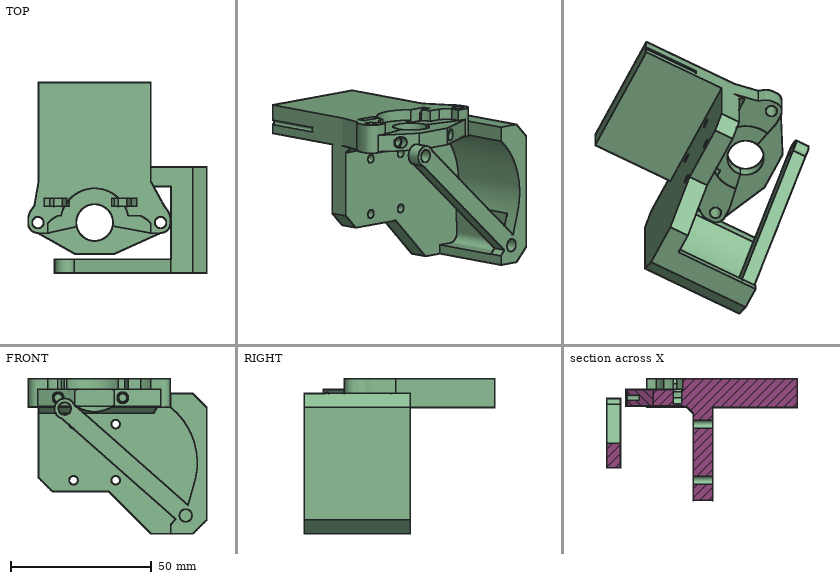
import cadquery as cq
import math

bore_dia = 13.0
front_y = -18.0
back_y = 49.97

block_half_width = 20.0
block_thickness = 10.3
flange_thickness = 10.1
flare_start_y = 14.7
ear_middle_x = 1.65
ear_spacing = 43.7
ear_radius = 3.5
ear_arc_y = -0.25
ear_shoulder_y = 1.36
flare_end_overhang = 1.3
flare_end_y = 6.0
ear_corner_overhang = 2.6
ear_corner_y = 4.2
shoulder_arc_inset = 0.25
shoulder_mid_y = 2.8
ear_hole_dia = 4.0
ear_front_y = ear_arc_y - ear_radius
ear_half_spacing = ear_spacing / 2

pocket_depth = 3.8
pocket_radius = 12.2
pocket_half_width = 18.35
pocket_shoulder_y = 2.4
pocket_shoulder_half_width = 14.8
pocket_side_y = -0.25
pocket_bulge = (0.15, 0.2)

cap_thickness = 6.0
cap_front_y = -11.2
cap_front_half_width = 7.0

screw_xs = (-13.0, 10.0)
screw_z = -pocket_depth - cap_thickness / 2
cap_screw_dia = 4.0
cap_screw_step_y = -6.4
tapped_screw_dia = 3.03
nut_corner_radius = 3.05
nut_slot_front_y = 5.75
nut_slot_width = 3.0
outer_lead_in = 1.9
inner_lead_in = 0.85

plate_front_y = 12.85
plate_thickness = 7.0
plate_corner = 5.0
plate_left_x = -20.0
plate_right_x = 40.0
wall_top_z = -5.25
plate_bottom_z = -40.25
wall_bottom_z = -55.25
gusset_size = 2.3
plate_hole_dia = 3.0
plate_hole_half_spacing = 7.5
plate_hole_zs = (-16.2, -36.2)

wall_inner_x = 27.2
sweep_start_z = -10.3
sweep_bulge = (36.4, -27.1)
sweep_end = (35.2, -38.2)
wall_below_sweep_slope = 0.28

arm_thickness = 5.0
pivot = (32.45, -48.75)
pivot_clearance_radius = 3.25
arm_tip = (-10.65, -10.7)
arm_tip_radius = 3.65
arm_width = 6.65
arm_root_length = 1.85
arm_hole_dia = 4.5

groove_z = -6.3
groove_dia = 1.6
groove_length = 20.0


def profile_xz(y):
    """Workplane at the given Y that draws in X and Z and extrudes towards +Y."""
    return cq.Workplane(cq.Plane(origin=(0, y, 0), xDir=(1, 0, 0), normal=(0, -1, 0)))


def extrude_back(profile, length):
    return profile.extrude(-length)


def cylinder_y(x, z, diameter, start_y, length):
    return extrude_back(profile_xz(start_y).center(x, z).circle(diameter / 2), length)


def ear_x(side, offset):
    """X of a point at the given distance from the middle of the two ears."""
    return ear_middle_x + side * offset


ear_outer = ear_half_spacing + ear_radius
ear_corner_half_width = ear_half_spacing + ear_corner_overhang
flare_end_half_width = ear_half_spacing + flare_end_overhang
shoulder_mid_half_width = ear_outer - shoulder_arc_inset
arc_middle = ear_radius * math.sqrt(0.5)


def flange_solid():
    """Block with two ears; its front edge rests on the clamp cap."""
    return (
        cq.Workplane("XY")
        .moveTo(-block_half_width, flare_start_y)
        .lineTo(ear_x(-1, flare_end_half_width), flare_end_y)
        .lineTo(ear_x(-1, ear_corner_half_width), ear_corner_y)
        .threePointArc(
            (ear_x(-1, shoulder_mid_half_width), shoulder_mid_y),
            (ear_x(-1, ear_outer), ear_shoulder_y),
        )
        .lineTo(ear_x(-1, ear_outer), ear_arc_y)
        .threePointArc(
            (ear_x(-1, ear_half_spacing + arc_middle), ear_arc_y - arc_middle),
            (ear_x(-1, ear_half_spacing), ear_front_y),
        )
        .lineTo(ear_x(-1, pocket_half_width), ear_front_y)
        .lineTo(0, 0)
        .lineTo(ear_x(1, pocket_half_width), ear_front_y)
        .lineTo(ear_x(1, ear_half_spacing), ear_front_y)
        .threePointArc(
            (ear_x(1, ear_half_spacing + arc_middle), ear_arc_y - arc_middle),
            (ear_x(1, ear_outer), ear_arc_y),
        )
        .lineTo(ear_x(1, ear_outer), ear_shoulder_y)
        .threePointArc(
            (ear_x(1, shoulder_mid_half_width), shoulder_mid_y),
            (ear_x(1, ear_corner_half_width), ear_corner_y),
        )
        .lineTo(ear_x(1, flare_end_half_width), flare_end_y)
        .lineTo(block_half_width, flare_start_y)
        .close()
        .extrude(-flange_thickness)
    )


def block_solid():
    depth = back_y - plate_front_y
    return (
        cq.Workplane("XY")
        .center(0, plate_front_y + depth / 2)
        .rect(2 * block_half_width, depth)
        .extrude(-block_thickness)
    )


def plate_solid():
    step_corner_x = wall_bottom_z - plate_bottom_z + block_half_width
    outline = [
        (plate_left_x, -block_thickness),
        (block_half_width, -block_thickness),
        (block_half_width, wall_top_z),
        (plate_right_x - plate_corner, wall_top_z),
        (plate_right_x, wall_top_z - plate_corner),
        (plate_right_x, wall_bottom_z + plate_corner),
        (plate_right_x - plate_corner, wall_bottom_z),
        (block_half_width, wall_bottom_z),
        (step_corner_x, plate_bottom_z),
        (plate_left_x + plate_corner, plate_bottom_z),
        (plate_left_x, plate_bottom_z + plate_corner),
    ]
    return extrude_back(profile_xz(plate_front_y).polyline(outline).close(), plate_thickness)


def wall_outer_side(profile):
    """Continue a wall profile around its outer side and back to the top of its inner face."""
    return (
        profile
        .lineTo(wall_inner_x, wall_bottom_z)
        .lineTo(plate_right_x - plate_corner, wall_bottom_z)
        .lineTo(plate_right_x, wall_bottom_z + plate_corner)
        .lineTo(plate_right_x, wall_top_z - plate_corner)
        .lineTo(plate_right_x - plate_corner, wall_top_z)
        .lineTo(wall_inner_x, wall_top_z)
        .close()
    )


def swept_face(y):
    return (
        profile_xz(y)
        .moveTo(wall_inner_x, wall_top_z)
        .lineTo(wall_inner_x, sweep_start_z)
        .threePointArc(sweep_bulge, sweep_end)
    )


def side_wall():
    """Wall behind the arm, rounded out around the pivot."""
    pivot_x, pivot_z = pivot
    radius = pivot_clearance_radius
    diagonal = radius * math.sqrt(0.5)
    rise_x = sweep_end[0] - pivot_x
    rise_z = sweep_end[1] - pivot_z
    tangent_angle = math.atan2(rise_z, rise_x) - math.acos(radius / math.hypot(rise_x, rise_z))
    tangent_point = (pivot_x + radius * math.cos(tangent_angle), pivot_z + radius * math.sin(tangent_angle))
    profile = (
        swept_face(front_y + arm_thickness)
        .lineTo(*tangent_point)
        .threePointArc((pivot_x + diagonal, pivot_z - diagonal), (pivot_x, pivot_z - radius))
        .lineTo(wall_inner_x, pivot_z - radius)
    )
    return extrude_back(wall_outer_side(profile), plate_front_y - front_y - arm_thickness)


arm_dx = arm_tip[0] - pivot[0]
arm_dz = arm_tip[1] - pivot[1]
arm_length = math.hypot(arm_dx, arm_dz)
along = (arm_dx / arm_length, arm_dz / arm_length)
upward = (along[1], -along[0])


def arm_point(distance, offset):
    """Point at a distance from the pivot along the arm, offset square to it."""
    return (
        pivot[0] + along[0] * distance + upward[0] * offset,
        pivot[1] + along[1] * distance + upward[1] * offset,
    )


def wall_foot():
    """Front layer of the wall, which carries the arm."""
    root = arm_point(arm_root_length, 0)
    foot_drop = (root[0] - wall_inner_x) * upward[1] / upward[0]
    drop = sweep_end[1] - root[1]
    below_sweep_x = sweep_end[0] - wall_below_sweep_slope * drop
    profile = (
        swept_face(front_y)
        .lineTo(below_sweep_x, root[1])
        .lineTo(*root)
        .lineTo(wall_inner_x, root[1] - foot_drop)
    )
    return extrude_back(wall_outer_side(profile), arm_thickness)


def support_arm():
    half = arm_width / 2
    corners = [
        arm_point(0, half),
        arm_point(arm_length, half),
        arm_point(arm_length, -half),
        arm_point(0, -half),
    ]
    bar = extrude_back(profile_xz(front_y).polyline(corners).close(), arm_thickness)
    return bar.union(cylinder_y(*arm_tip, 2 * arm_tip_radius, front_y, arm_thickness))


def gusset():
    """45 degree strip in the corner between the flange and the plate."""
    strip = (
        cq.Workplane("YZ", origin=(-block_half_width, 0, 0))
        .moveTo(plate_front_y, -flange_thickness - gusset_size)
        .lineTo(plate_front_y, -flange_thickness)
        .lineTo(plate_front_y - gusset_size, -flange_thickness)
        .close()
        .extrude(wall_inner_x + block_half_width)
    )
    below_flange = flange_solid().translate((0, 0, -gusset_size))
    return strip.intersect(below_flange)


def top_pocket():
    chord_x = (pocket_half_width + pocket_shoulder_half_width) / 2
    chord_y = (pocket_side_y + pocket_shoulder_y) / 2
    bulge = (chord_x + pocket_bulge[0], chord_y + pocket_bulge[1])
    lobes = (
        cq.Workplane("XY")
        .moveTo(ear_x(-1, pocket_half_width), ear_front_y)
        .lineTo(ear_x(-1, pocket_half_width), pocket_side_y)
        .threePointArc(
            (ear_x(-1, bulge[0]), bulge[1]),
            (ear_x(-1, pocket_shoulder_half_width), pocket_shoulder_y),
        )
        .lineTo(ear_x(1, pocket_shoulder_half_width), pocket_shoulder_y)
        .threePointArc((ear_x(1, bulge[0]), bulge[1]), (ear_x(1, pocket_half_width), pocket_side_y))
        .lineTo(ear_x(1, pocket_half_width), ear_front_y)
        .close()
        .extrude(-pocket_depth)
    )
    return lobes.union(cq.Workplane("XY").circle(pocket_radius).extrude(-pocket_depth))


def lower_recess():
    """Round clearance below the collar, which is as thick as the clamp cap."""
    collar_bottom_z = -pocket_depth - cap_thickness
    recess_depth = flange_thickness + gusset_size + collar_bottom_z
    return cq.Workplane("XY", origin=(0, 0, collar_bottom_z)).circle(pocket_radius).extrude(-recess_depth)


def nut_trap(x):
    """Slot with a half hexagon floor; 45 degree lead-ins at the top and at the pocket floor."""
    outward = math.copysign(1, x)
    corner = nut_corner_radius
    floor_z = screw_z - corner * math.sin(math.pi / 3)
    inner_x = x - outward * corner
    outer_x = x + outward * corner
    outline = [
        (inner_x, 0),
        (inner_x, -pocket_depth),
        (inner_x - outward * inner_lead_in, -pocket_depth),
        (inner_x, -pocket_depth - inner_lead_in),
        (inner_x, screw_z),
        (x - outward * corner / 2, floor_z),
        (x + outward * corner / 2, floor_z),
        (outer_x, screw_z),
        (outer_x, -outer_lead_in),
        (outer_x + outward * outer_lead_in, 0),
    ]
    return extrude_back(profile_xz(nut_slot_front_y).polyline(outline).close(), nut_slot_width)


def side_groove():
    """Half round groove, open at the rear."""
    return cylinder_y(-block_half_width, groove_z, groove_dia, back_y - groove_length, groove_length)


def bore():
    return cq.Workplane("XY").circle(bore_dia / 2).extrude(-block_thickness)


def make_carriage():
    body = block_solid().union(flange_solid())
    for piece in (plate_solid(), side_wall(), wall_foot(), support_arm(), gusset()):
        body = body.union(piece)
    body = body.cut(top_pocket()).cut(lower_recess()).cut(bore()).cut(side_groove())
    nut_slot_back_y = nut_slot_front_y + nut_slot_width
    for x in screw_xs:
        body = body.cut(nut_trap(x))
        body = body.cut(cylinder_y(x, screw_z, tapped_screw_dia, ear_front_y, nut_slot_back_y - ear_front_y))
    for side in (-1, 1):
        ear_hole = (
            cq.Workplane("XY")
            .center(ear_x(side, ear_half_spacing), 0)
            .circle(ear_hole_dia / 2)
            .extrude(-flange_thickness)
        )
        body = body.cut(ear_hole)
        for z in plate_hole_zs:
            hole_x = side * plate_hole_half_spacing
            body = body.cut(cylinder_y(hole_x, z, plate_hole_dia, plate_front_y, plate_thickness))
    for x, z in (arm_tip, pivot):
        body = body.cut(cylinder_y(x, z, arm_hole_dia, front_y, arm_thickness))
    return body


def make_clamp_cap():
    outline = [
        (ear_x(-1, ear_half_spacing), ear_front_y),
        (ear_x(-1, pocket_half_width), ear_front_y),
        (0, 0),
        (ear_x(1, pocket_half_width), ear_front_y),
        (ear_x(1, ear_half_spacing), ear_front_y),
        (cap_front_half_width, cap_front_y),
        (-cap_front_half_width, cap_front_y),
    ]
    cap = (
        cq.Workplane("XY", origin=(0, 0, -pocket_depth))
        .polyline(outline)
        .close()
        .extrude(-cap_thickness)
        .cut(bore())
    )
    for x in screw_xs:
        cap = cap.cut(cylinder_y(x, screw_z, cap_screw_dia, cap_front_y, cap_screw_step_y - cap_front_y))
        cap = cap.cut(cylinder_y(x, screw_z, tapped_screw_dia, cap_front_y, -cap_front_y))
    return cap


carriage = make_carriage()
clamp_cap = make_clamp_cap()
result = cq.Compound.makeCompound([carriage.val(), clamp_cap.val()])